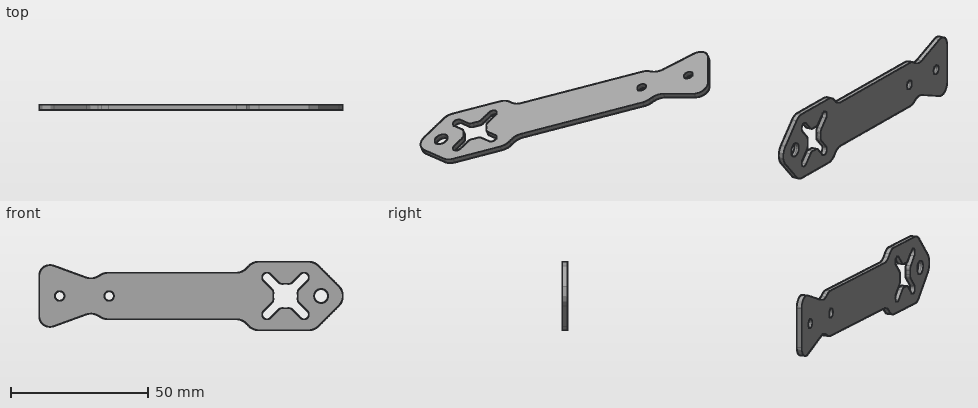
import cadquery as cq
import math

total_length = 110.57
thickness = 2.0

tail_half_height = 13.0
tail_slope = math.radians(20)
tail_radius = 4.0

waist_x = 19.35
waist_radius = 5.0
waist_rise = math.radians(30)

beam_half_height = 8.5
beam_start_radius = 5.0

head_half_height = 12.5
neck_x = 73.85
neck_radius = 5.0
head_radius = 5.0
nose_radius = 5.0

tail_hole_diameter = 3.4
tail_hole_x = 7.5
tail_hole_spacing = 18.0
nose_hole_diameter = 5.0
nose_hole_x = 102.6

motor_x = 89.65
motor_bore_diameter = 8.9
slot_width = 3.4
slot_end_distance = 9.55
slot_corner_radius = 2.0


def round_edge(body, x, z, radius):
    """Round the through-thickness edge closest to (x, z)."""
    edge = cq.selectors.NearestToPointSelector((x, 0, z))
    return body.edges("|Y").edges(edge).fillet(radius)


def make_blank():
    """Build the outline with sharp corners, then round every corner."""
    waist_z = tail_half_height - waist_x * math.tan(tail_slope)
    beam_start_x = waist_x + (beam_half_height - waist_z) / math.tan(waist_rise)
    shoulder_x = neck_x + head_half_height - beam_half_height
    sharp_nose_x = total_length + nose_radius * (math.sqrt(2) - 1)
    head_end_x = sharp_nose_x - head_half_height

    upper_corners = [
        ((0, tail_half_height), tail_radius),
        ((waist_x, waist_z), waist_radius),
        ((beam_start_x, beam_half_height), beam_start_radius),
        ((neck_x, beam_half_height), neck_radius),
        ((shoulder_x, head_half_height), head_radius),
        ((head_end_x, head_half_height), head_radius),
    ]
    upper = [corner for corner, _ in upper_corners]
    lower = [(x, -z) for x, z in reversed(upper)]
    outline = upper + [(sharp_nose_x, 0)] + lower
    blank = cq.Workplane("XZ").polyline(outline).close().extrude(thickness / 2, both=True)

    for (x, z), radius in upper_corners:
        blank = round_edge(blank, x, z, radius)
        blank = round_edge(blank, x, -z, radius)
    return round_edge(blank, sharp_nose_x, 0, nose_radius)


def make_hole(x, diameter):
    """Cutting cylinder that passes through both faces of the plate."""
    return cq.Workplane("XZ").center(x, 0).circle(diameter / 2).extrude(thickness, both=True)


def make_motor_cutout():
    """Cross of two diagonal slots over a round bore, with eased slot mouths."""
    cutout = make_hole(motor_x, motor_bore_diameter)
    slot_length = 2 * slot_end_distance + slot_width
    for angle in (45, -45):
        slot = cq.Workplane("XZ").center(motor_x, 0).slot2D(slot_length, slot_width, angle)
        cutout = cutout.union(slot.extrude(thickness, both=True))

    mouth_radius = motor_bore_diameter / 2
    mouth_half_angle = math.asin(slot_width / 2 / mouth_radius)
    for quadrant in range(4):
        slot_angle = math.radians(45 + 90 * quadrant)
        for angle in (slot_angle - mouth_half_angle, slot_angle + mouth_half_angle):
            mouth_x = motor_x + mouth_radius * math.cos(angle)
            mouth_z = mouth_radius * math.sin(angle)
            cutout = round_edge(cutout, mouth_x, mouth_z, slot_corner_radius)
    return cutout


result = make_blank()
for hole_x in (tail_hole_x, tail_hole_x + tail_hole_spacing):
    result = result.cut(make_hole(hole_x, tail_hole_diameter))
result = result.cut(make_hole(nose_hole_x, nose_hole_diameter))
result = result.cut(make_motor_cutout())